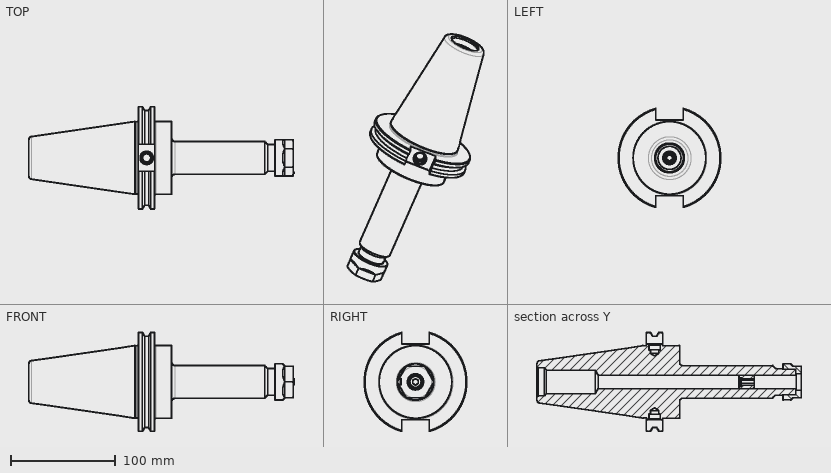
import cadquery as cq
import math


LENGTH = 254.0

EDGE_MARGIN = 0.13

TAPER_LENGTH = 101.5
GAUGE_DIAMETER = 69.8
TAPER_RATIO = 7 / 24
TAPER_END_DIAMETER = GAUGE_DIAMETER - TAPER_LENGTH * TAPER_RATIO
TAPER_END_ROUNDING = 3.0
RELIEF_DIAMETER = 69.3
RELIEF_STEP = 0.8

FLANGE_DIAMETER = 98.3
FLANGE_START = 104.6
FLANGE_END = 120.6
FLANGE_CHAMFER = 0.8
FLANGE_ROOT_FILLET = 0.8
GROOVE_CENTER = 112.8
GROOVE_FLOOR_DIAMETER = 91.2
GROOVE_FLOOR_WIDTH = 3.8
GROOVE_FLANK_ANGLE = 30
GROOVE_FLANK_DEPTH = (FLANGE_DIAMETER - GROOVE_FLOOR_DIAMETER) / 2
GROOVE_MOUTH_WIDTH = GROOVE_FLOOR_WIDTH + 2 * GROOVE_FLANK_DEPTH * math.tan(math.radians(GROOVE_FLANK_ANGLE))
SLOT_WIDTH = 26.0
SLOT_FLOOR_RADIUS = 36.3

COOLANT_DIAMETER = 10.7
COOLANT_MOUTH_DIAMETER = 12.7
COOLANT_DEPTH = 5.5
COOLANT_PILOT_DIAMETER = 8.0
COOLANT_PILOT_DEPTH = 9.0
DRILL_POINT_ANGLE = 118

SHOULDER_END = 137.0
SHOULDER_CHAMFER_LENGTH = 0.8
SHOULDER_END_DIAMETER = 69.3
SHANK_DIAMETER = 31.8
SHANK_ROOT_FILLET = 2.8
SHANK_END = 225.5
NECK_DIAMETER = 26.0
NECK_START = SHANK_END + (SHANK_DIAMETER - NECK_DIAMETER) / 2
NOSE_DIAMETER = 25.0

MOUTH_DIAMETER = 28.5
MOUTH_CHAMFER_LENGTH = 1.5
COUNTERBORE_DIAMETER = 26.5
COUNTERBORE_DEPTH = 7.4
DRAWBAR_BORE_DIAMETER = 22.0
DRAWBAR_CONE_END = 9.1
DRAWBAR_BORE_DEPTH = 56.0
BORE_DIAMETER = 12.7

NUT_START = 235.5
NUT_END = 253.2
NUT_DIAMETER = 35.0
NUT_REAR_CHAMFER = 0.5
NUT_FRONT_CHAMFER_LENGTH = 0.5
NUT_ACROSS_FLATS = NUT_DIAMETER * math.cos(math.pi / 6)
NUT_FLAT_START = 245.0
NUT_FLAT_RUNOUT_ANGLE = 45
NUT_FRONT_WALL = 5.0
NUT_OPENING_DIAMETER = 15.5
NOSE_END = NUT_END - NUT_FRONT_WALL

MARK_THICKNESS = 0.8
MARK_WIDTH = 5.8
MARK_RADIUS = 14.2

SCREW_START = 193.0
SCREW_LENGTH = 15.2
SCREW_TIP_DIAMETER = 10.7
SCREW_CHAMFER = (BORE_DIAMETER - SCREW_TIP_DIAMETER) / 2
SCREW_HEX_ACROSS_FLATS = 5.0
SCREW_COUNTERSINK_DIAMETER = 10.2
SCREW_COUNTERBORE_DIAMETER = 8.0
SCREW_COUNTERBORE_DEPTH = 2.5


def drill_point_length(from_diameter, to_diameter=0.0):
    """Axial length of a drill-point cone between two diameters."""
    return (from_diameter - to_diameter) / 2 / math.tan(math.radians(DRILL_POINT_ANGLE / 2))


def revolve_about_x(profile):
    """Solid of revolution from (x, diameter) stations, closed along the X axis."""
    stations = [(x, diameter / 2) for x, diameter in profile]
    outline = [(stations[0][0], 0), *stations, (stations[-1][0], 0)]
    return cq.Workplane("XY").polyline(outline).close().revolve(360, (0, 0, 0), (1, 0, 0))


def hex_prism(start, length, across_flats, taper=0):
    """Hexagonal prism along X with flats facing +Z and -Z, narrowing along +X by the taper angle."""
    corner_diameter = across_flats / math.cos(math.pi / 6)
    return cq.Workplane("YZ").workplane(offset=start).polygon(6, corner_diameter).extrude(length, taper=taper)


def circle_at(x, diameter):
    """Selector for the circular edge around the X axis at one station and diameter."""
    margin = EDGE_MARGIN
    reach = diameter / 2 + margin
    return cq.selectors.BoxSelector((x - margin, -reach, -reach), (x + margin, reach, reach), boundingbox=True)


def make_taper():
    taper = revolve_about_x([(0, TAPER_END_DIAMETER), (TAPER_LENGTH, GAUGE_DIAMETER)])
    taper = taper.faces("<X").edges().fillet(TAPER_END_ROUNDING)
    relief = revolve_about_x([
        (TAPER_LENGTH, GAUGE_DIAMETER),
        (TAPER_LENGTH + RELIEF_STEP, RELIEF_DIAMETER),
        (FLANGE_START, RELIEF_DIAMETER),
    ])
    return taper.union(relief)


def make_flange():
    rim_diameter = FLANGE_DIAMETER - 2 * FLANGE_CHAMFER
    return revolve_about_x([
        (FLANGE_START, rim_diameter),
        (FLANGE_START + FLANGE_CHAMFER, FLANGE_DIAMETER),
        (GROOVE_CENTER - GROOVE_MOUTH_WIDTH / 2, FLANGE_DIAMETER),
        (GROOVE_CENTER - GROOVE_FLOOR_WIDTH / 2, GROOVE_FLOOR_DIAMETER),
        (GROOVE_CENTER + GROOVE_FLOOR_WIDTH / 2, GROOVE_FLOOR_DIAMETER),
        (GROOVE_CENTER + GROOVE_MOUTH_WIDTH / 2, FLANGE_DIAMETER),
        (FLANGE_END - FLANGE_CHAMFER, FLANGE_DIAMETER),
        (FLANGE_END, rim_diameter),
    ])


def make_shoulder_and_shank():
    shoulder = revolve_about_x([
        (FLANGE_END, GAUGE_DIAMETER),
        (SHOULDER_END - SHOULDER_CHAMFER_LENGTH, GAUGE_DIAMETER),
        (SHOULDER_END, SHOULDER_END_DIAMETER),
    ])
    shank = revolve_about_x([
        (SHOULDER_END, SHANK_DIAMETER),
        (SHANK_END, SHANK_DIAMETER),
        (NECK_START, NECK_DIAMETER),
        (NUT_START, NECK_DIAMETER),
        (NUT_START, NOSE_DIAMETER),
        (NOSE_END, NOSE_DIAMETER),
    ])
    return shoulder.union(shank)


def make_bore():
    cone_end = DRAWBAR_BORE_DEPTH + drill_point_length(DRAWBAR_BORE_DIAMETER, BORE_DIAMETER)
    return revolve_about_x([
        (0, MOUTH_DIAMETER),
        (MOUTH_CHAMFER_LENGTH, COUNTERBORE_DIAMETER),
        (COUNTERBORE_DEPTH, COUNTERBORE_DIAMETER),
        (DRAWBAR_CONE_END, DRAWBAR_BORE_DIAMETER),
        (DRAWBAR_BORE_DEPTH, DRAWBAR_BORE_DIAMETER),
        (cone_end, BORE_DIAMETER),
        (NOSE_END, BORE_DIAMETER),
    ])


def make_drive_slot():
    """Cutter for the slot on the +Z side, with the coolant hole in its floor."""
    slot_height = FLANGE_DIAMETER / 2 - SLOT_FLOOR_RADIUS
    slot = (
        cq.Workplane("XY")
        .workplane(offset=SLOT_FLOOR_RADIUS)
        .center((FLANGE_START + FLANGE_END) / 2, 0)
        .rect(FLANGE_END - FLANGE_START, SLOT_WIDTH)
        .extrude(slot_height)
    )
    mouth_depth = (COOLANT_MOUTH_DIAMETER - COOLANT_DIAMETER) / 2
    tip_depth = COOLANT_PILOT_DEPTH + drill_point_length(COOLANT_PILOT_DIAMETER)
    hole_outline = [
        (0, 0),
        (COOLANT_MOUTH_DIAMETER / 2, 0),
        (COOLANT_DIAMETER / 2, -mouth_depth),
        (COOLANT_DIAMETER / 2, -COOLANT_DEPTH),
        (COOLANT_PILOT_DIAMETER / 2, -COOLANT_DEPTH),
        (COOLANT_PILOT_DIAMETER / 2, -COOLANT_PILOT_DEPTH),
        (0, -tip_depth),
    ]
    hole = cq.Workplane("XZ").polyline(hole_outline).close().revolve(360, (0, 0, 0), (0, 1, 0))
    return slot.union(hole.translate((GROOVE_CENTER, 0, SLOT_FLOOR_RADIUS)))


def make_holder():
    holder = make_taper().union(make_flange()).union(make_shoulder_and_shank())
    holder = holder.edges(circle_at(FLANGE_START, RELIEF_DIAMETER)).fillet(FLANGE_ROOT_FILLET)
    holder = holder.edges(circle_at(FLANGE_END, GAUGE_DIAMETER)).fillet(FLANGE_ROOT_FILLET)
    holder = holder.edges(circle_at(SHOULDER_END, SHANK_DIAMETER)).fillet(SHANK_ROOT_FILLET)
    holder = holder.cut(make_bore())
    slot = make_drive_slot()
    for angle in (0, 180):
        holder = holder.cut(slot.rotate((0, 0, 0), (1, 0, 0), angle))
    return holder


def make_nut():
    front_length = NUT_END - NUT_FLAT_START
    hexagon = hex_prism(NUT_FLAT_START, front_length, NUT_ACROSS_FLATS)
    runout_length = NUT_FLAT_START - NUT_START
    runout_across_flats = NUT_ACROSS_FLATS + 2 * runout_length * math.tan(math.radians(NUT_FLAT_RUNOUT_ANGLE))
    runout = hex_prism(NUT_START, runout_length, runout_across_flats, NUT_FLAT_RUNOUT_ANGLE)
    envelope = revolve_about_x([
        (NUT_START, NUT_DIAMETER - 2 * NUT_REAR_CHAMFER),
        (NUT_START + NUT_REAR_CHAMFER, NUT_DIAMETER),
        (NUT_END - NUT_FRONT_CHAMFER_LENGTH, NUT_DIAMETER),
        (NUT_END, NUT_ACROSS_FLATS),
    ])
    cavity = revolve_about_x([
        (NUT_START, NOSE_DIAMETER),
        (NOSE_END, NOSE_DIAMETER),
        (NOSE_END, NUT_OPENING_DIAMETER),
        (NUT_END, NUT_OPENING_DIAMETER),
    ])
    mark = (
        cq.Workplane("YZ")
        .workplane(offset=NUT_END)
        .center(-MARK_RADIUS, 0)
        .rect(MARK_THICKNESS, MARK_WIDTH)
        .extrude(LENGTH - NUT_END)
    )
    return runout.union(hexagon).intersect(envelope).cut(cavity).union(mark)


def make_stop_screw():
    screw_end = SCREW_START + SCREW_LENGTH
    shaft = revolve_about_x([
        (SCREW_START, SCREW_TIP_DIAMETER),
        (SCREW_START + SCREW_CHAMFER, BORE_DIAMETER),
        (screw_end - SCREW_CHAMFER, BORE_DIAMETER),
        (screw_end, SCREW_TIP_DIAMETER),
    ])
    countersink_depth = (SCREW_COUNTERSINK_DIAMETER - SCREW_COUNTERBORE_DIAMETER) / 2
    socket_mouth = revolve_about_x([
        (SCREW_START, SCREW_COUNTERSINK_DIAMETER),
        (SCREW_START + countersink_depth, SCREW_COUNTERBORE_DIAMETER),
        (SCREW_START + SCREW_COUNTERBORE_DEPTH, SCREW_COUNTERBORE_DIAMETER),
    ])
    socket = hex_prism(SCREW_START, SCREW_LENGTH, SCREW_HEX_ACROSS_FLATS)
    upright_socket = socket.rotate((0, 0, 0), (1, 0, 0), 30)
    return shaft.cut(socket_mouth).cut(upright_socket)


holder = make_holder()
nut = make_nut()
stop_screw = make_stop_screw()

result = cq.Compound.makeCompound([holder.val(), nut.val(), stop_screw.val()])